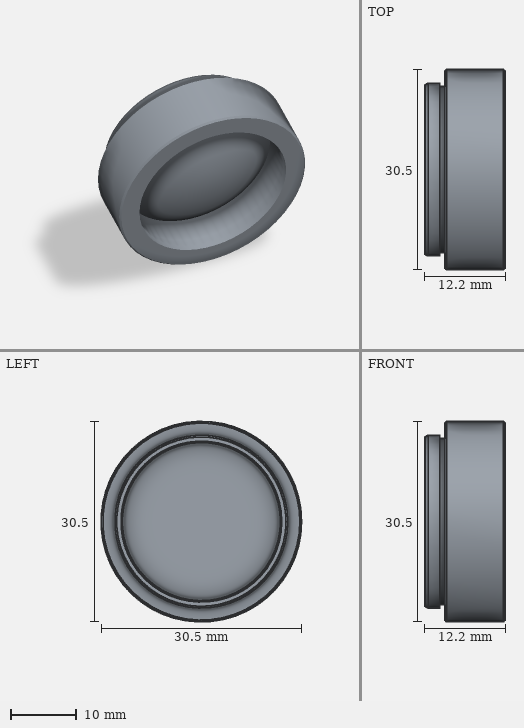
import cadquery as cq
import math

barrel_diameter = 30.48
total_length = 12.2
left_end = -total_length / 2
right_end = total_length / 2

barrel_chamfer = 0.27
stub_length = 3.05
thread_diameter = 26.27
thread_length = 2.3
thread_lead_length = 0.5
thread_lead_depth = 0.27
relief_diameter = 25.3

bore_diameter = 24.02
bore_radius = bore_diameter / 2
bore_chamfer = 0.2

lens_recess = 3.8
lens_edge_thickness = 1.83
lens_curvature_radius = 18.4


def revolve_about_axis(half_section):
    """Turn a closed half section, drawn on the -Y side of the XY plane, about the X axis."""
    return half_section.revolve(360, (0, 0, 0), (1, 0, 0))


def make_housing():
    """Chamfered barrel with relief groove and threaded stub, bored right through."""
    barrel_radius = barrel_diameter / 2
    thread_radius = thread_diameter / 2
    relief_radius = relief_diameter / 2
    barrel_start = left_end + stub_length
    thread_end = left_end + thread_length

    half_section = (
        cq.Workplane("XY")
        .moveTo(left_end + bore_chamfer, -bore_radius)
        .lineTo(left_end, -(bore_radius + bore_chamfer))
        .lineTo(left_end, -(thread_radius - thread_lead_depth))
        .lineTo(left_end + thread_lead_length, -thread_radius)
        .lineTo(thread_end, -thread_radius)
        .lineTo(thread_end, -relief_radius)
        .lineTo(barrel_start, -relief_radius)
        .lineTo(barrel_start, -(barrel_radius - barrel_chamfer))
        .lineTo(barrel_start + barrel_chamfer, -barrel_radius)
        .lineTo(right_end - barrel_chamfer, -barrel_radius)
        .lineTo(right_end, -(barrel_radius - barrel_chamfer))
        .lineTo(right_end, -bore_radius)
        .close()
    )
    return revolve_about_axis(half_section)


def make_lens():
    """Plano-convex lens filling the bore: flat face, short rim and spherical dome."""
    flat_x = left_end + lens_recess
    rim_x = flat_x + lens_edge_thickness
    dome_height = lens_curvature_radius - math.sqrt(lens_curvature_radius**2 - bore_radius**2)
    dome_tip_x = rim_x + dome_height
    dome_center_x = dome_tip_x - lens_curvature_radius
    mid_angle = math.asin(bore_radius / lens_curvature_radius) / 2
    dome_midpoint = (
        dome_center_x + lens_curvature_radius * math.cos(mid_angle),
        -lens_curvature_radius * math.sin(mid_angle),
    )

    half_section = (
        cq.Workplane("XY")
        .moveTo(flat_x, 0)
        .lineTo(flat_x, -bore_radius)
        .lineTo(rim_x, -bore_radius)
        .threePointArc(dome_midpoint, (dome_tip_x, 0))
        .close()
    )
    return revolve_about_axis(half_section)


housing = make_housing()
lens = make_lens()

result = cq.Compound.makeCompound([housing.val(), lens.val()])